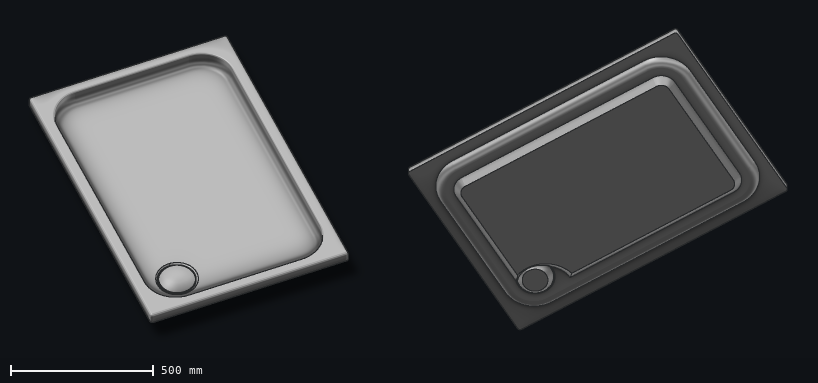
import cadquery as cq
import math


RIM_LENGTH = 1105.0
RIM_WIDTH = 755.0
RIM_HEIGHT = 37.0
RIM_RADIUS = 10.0
TURN_ANGLE = 0.064
TOTAL_HEIGHT = 85.13

CORNER_X = 392.5
CORNER_Y = 216.5
LIP_RADIUS = 7.0
BASIN_DEPTH = 55.2
FLOOR_THICKNESS = 5.0
BASIN_FILLET = 30.0
BASIN_CORNER = 117.5

shell_bottom = -(BASIN_DEPTH + FLOOR_THICKNESS)
shell_corner = BASIN_CORNER + FLOOR_THICKNESS
shell_fillet = BASIN_FILLET + FLOOR_THICKNESS
PAD_CORNER = 57.0
PAD_DRAFT = 45.0
pad_height = TOTAL_HEIGHT + shell_bottom

DRAIN_X = 382.5
DRAIN_Y = -206.0
SUMP_BOTTOM_DIAMETER = 90.0
DISH_DIAMETER = 150.0
DISH_DEPTH = 3.0
POCKET_DIAMETER = 134.0
POCKET_DEPTH = 5.0
COVER_DIAMETER = 129.75
COVER_EDGE = 4.0
COVER_RISE = 12.0
pocket_bottom = -(BASIN_DEPTH + POCKET_DEPTH)

NOTCH_Y = -277.0
NOTCH_RADIUS = 103.0


def rounded_block(corner_radius, top, height, taper=0.0):
    """Rounded rectangle around the shared corner centres, extruded down from `top`."""
    return (
        cq.Workplane("XY", origin=(0, 0, top))
        .sketch()
        .rect(2 * (CORNER_X + corner_radius), 2 * (CORNER_Y + corner_radius))
        .vertices()
        .fillet(corner_radius)
        .finalize()
        .extrude(-height, taper=taper)
    )


def upright_cone(x, y, bottom, bottom_radius, top_radius, height):
    return cq.Workplane(cq.Solid.makeCone(bottom_radius, top_radius, height, pnt=cq.Vector(x, y, bottom)))


def make_rim():
    return (
        cq.Workplane("XY", origin=(0, 0, -RIM_HEIGHT))
        .box(RIM_LENGTH, RIM_WIDTH, RIM_HEIGHT, centered=(True, True, False))
        .edges("|Z")
        .fillet(RIM_RADIUS)
        .faces(">Z")
        .edges()
        .fillet(RIM_RADIUS)
    )


def make_shell():
    """Rounded outside of the basin; it starts inside the rim plate and hangs below it."""
    shell_top = -LIP_RADIUS
    block = rounded_block(shell_corner, shell_top, shell_top - shell_bottom)
    return block.faces("<Z").edges().fillet(shell_fillet)


def make_pad():
    """Raised foot under the basin floor, notched around the sump."""
    pad = rounded_block(PAD_CORNER, shell_bottom, pad_height, PAD_DRAFT)
    notch_bottom_radius = NOTCH_RADIUS + pad_height
    notch = upright_cone(DRAIN_X, NOTCH_Y, -TOTAL_HEIGHT, notch_bottom_radius, NOTCH_RADIUS, pad_height)
    return pad.cut(notch)


def make_sump():
    bottom_radius = SUMP_BOTTOM_DIAMETER / 2
    top_radius = bottom_radius + pad_height
    return upright_cone(DRAIN_X, DRAIN_Y, -TOTAL_HEIGHT, bottom_radius, top_radius, pad_height)


def cut_basin(body):
    basin = rounded_block(BASIN_CORNER, 0, BASIN_DEPTH).faces("<Z").edges().fillet(BASIN_FILLET)
    opening = body.cut(basin).faces(">Z").wires(cq.selectors.LengthNthSelector(0))
    return opening.edges().fillet(LIP_RADIUS)


def cut_cover_seat(body):
    pocket_radius = POCKET_DIAMETER / 2
    dish_bottom = -(BASIN_DEPTH + DISH_DEPTH)
    dish = upright_cone(DRAIN_X, DRAIN_Y, dish_bottom, pocket_radius, DISH_DIAMETER / 2, DISH_DEPTH)
    pocket = (
        cq.Workplane("XY", origin=(DRAIN_X, DRAIN_Y, pocket_bottom))
        .circle(pocket_radius)
        .extrude(POCKET_DEPTH)
    )
    return body.cut(dish).cut(pocket)


def make_tray():
    body = make_rim().union(make_shell()).union(make_pad()).union(make_sump())
    return cut_cover_seat(cut_basin(body))


def make_cover():
    radius = COVER_DIAMETER / 2
    dome_radius = (radius**2 + COVER_RISE**2) / (2 * COVER_RISE)
    mid_r = radius / 2
    mid_z = COVER_EDGE + COVER_RISE - dome_radius + math.sqrt(dome_radius**2 - mid_r**2)
    return (
        cq.Workplane("XZ")
        .lineTo(radius, 0)
        .lineTo(radius, COVER_EDGE)
        .threePointArc((mid_r, mid_z), (0, COVER_EDGE + COVER_RISE))
        .close()
        .revolve(360, (0, 0, 0), (0, 1, 0))
        .translate((DRAIN_X, DRAIN_Y, pocket_bottom))
    )


def turned(body):
    return body.rotate((0, 0, 0), (0, 0, 1), TURN_ANGLE)


tray = turned(make_tray())
drain_cover = turned(make_cover())
result = cq.Compound.makeCompound([tray.val(), drain_cover.val()])